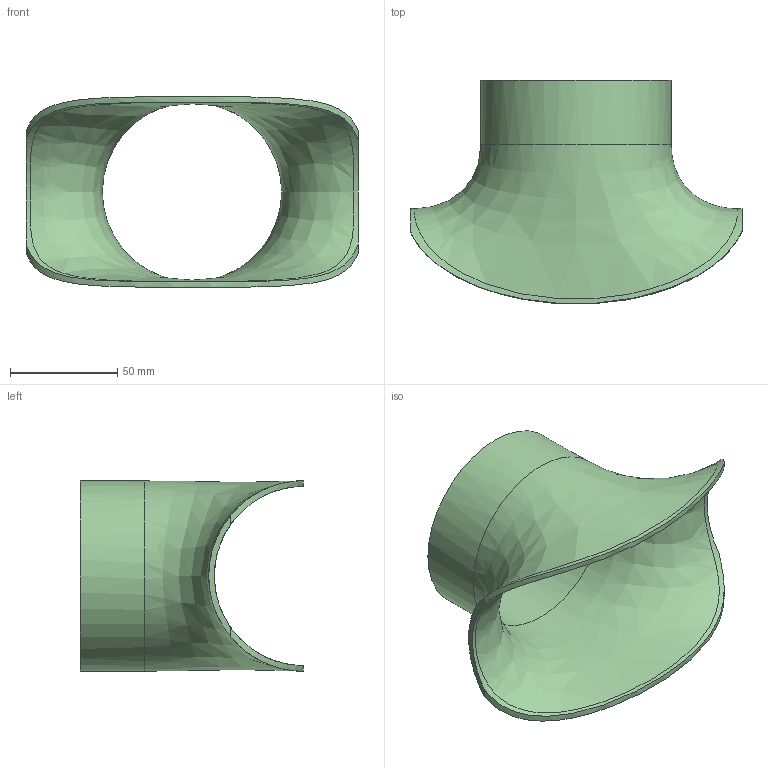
import math

import cadquery as cq

outer_radius = 88.9 / 2
wall = 2.6
inner_radius = outer_radius - wall

socket_end_y = 104.34
socket_length = 30.0
flare_top_y = socket_end_y - socket_length

saddle_length = 155.0
rim_half_length = 79.7
rim_half_depth = outer_radius

flare_half_length = 75.6
flare_half_depth = 42.3
saddle_overhang = 7.0
handle_ratio = 0.42

section_count = 48
slope_step = 1e-4
fuse_tolerance = 1e-3


def seam_point(theta):
    """Point on the run pipe's outer surface where the flare ends."""
    s = math.sin(theta)
    x = flare_half_length * math.cos(theta) * math.sqrt(1 + s**2)
    y = outer_radius - flare_half_depth * s**2
    z = s * math.sqrt(2 * outer_radius * flare_half_depth - (flare_half_depth * s) ** 2)
    return cq.Vector(x, y, z)


def seam_direction(theta):
    """Unit vector in the run pipe's surface, square to the seam and pointing outwards."""
    along = seam_point(theta + slope_step) - seam_point(theta - slope_step)
    point = seam_point(theta)
    radial = cq.Vector(0, point.y, point.z)
    return radial.cross(along).normalized()


def saddle_point(theta, distance, radius):
    """Point reached by following the run pipe's surface outwards from the seam."""
    start = seam_point(theta)
    heading = seam_direction(theta)
    start_angle = math.atan2(start.z, start.y)
    around = heading.z * math.cos(start_angle) - heading.y * math.sin(start_angle)
    angle = start_angle + distance * around / outer_radius
    return cq.Vector(
        start.x + distance * heading.x,
        radius * math.cos(angle),
        radius * math.sin(angle),
    )


def flare_edge(theta, radius):
    """Curve leaving the socket along its axis and landing tangent on the run pipe."""
    top = cq.Vector(radius * math.cos(theta), flare_top_y, radius * math.sin(theta))
    foot = saddle_point(theta, 0, radius)
    handle = handle_ratio * (foot - top).Length
    return cq.Edge.makeBezier(
        [
            top,
            top - cq.Vector(0, handle, 0),
            foot - seam_direction(theta) * handle,
            foot,
        ]
    )


def saddle_edge(theta, radius):
    """Curve along the run pipe from the seam to past the rim."""
    stations = [0, saddle_overhang / 2, saddle_overhang]
    return cq.Edge.makeSpline([saddle_point(theta, d, radius) for d in stations])


def wall_section(theta):
    """Closed outline of the wall, from socket to past the rim."""
    flare_out = flare_edge(theta, outer_radius)
    saddle_out = saddle_edge(theta, outer_radius)
    flare_in = flare_edge(theta, inner_radius)
    saddle_in = saddle_edge(theta, inner_radius)
    rim = cq.Edge.makeLine(saddle_out.endPoint(), saddle_in.endPoint())
    top = cq.Edge.makeLine(flare_in.startPoint(), flare_out.startPoint())
    return cq.Wire.assembleEdges([flare_out, saddle_out, rim, saddle_in, flare_in, top])


def make_flare():
    """Flared wall, lofted once around the socket axis and closed on itself."""
    sections = [wall_section(2 * math.pi * i / section_count) for i in range(section_count)]
    return cq.Workplane(cq.Solid.makeLoft(sections + sections[:1]))


def make_socket():
    """Straight round pipe above the flare."""
    return (
        cq.Workplane("XZ", origin=(0, socket_end_y, 0))
        .circle(outer_radius)
        .circle(inner_radius)
        .extrude(socket_length)
    )


def make_rim_trim():
    """Prism along Z that keeps what lies inside the rim outline and between the square ends."""
    prism_height = 4 * outer_radius
    lower_part = (
        cq.Workplane("XY", origin=(0, rim_half_depth, 0))
        .ellipse(rim_half_length, rim_half_depth)
        .extrude(prism_height / 2, both=True)
    )
    square_ends = cq.Workplane("XY").box(saddle_length, 4 * rim_half_depth, prism_height)
    upper_part = cq.Workplane("XY", origin=(0, rim_half_depth, 0)).box(
        saddle_length, socket_end_y, prism_height, centered=(True, False, True)
    )
    return lower_part.intersect(square_ends).union(upper_part)


flare = make_flare().intersect(make_rim_trim())
result = flare.union(make_socket(), clean=False, tol=fuse_tolerance).solids()